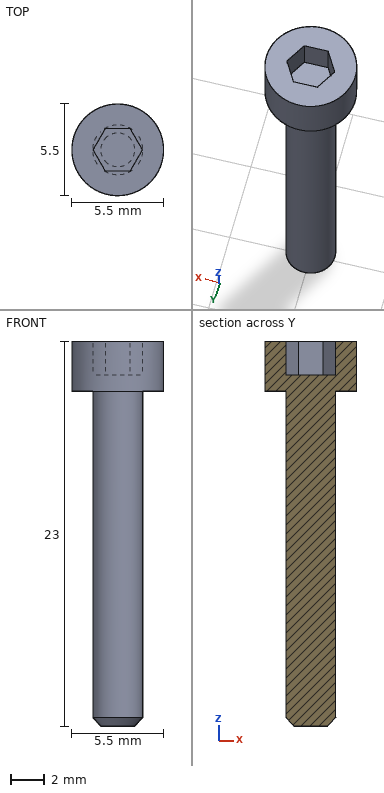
import cadquery as cq
import math

total_length = 23.0
head_diameter = 5.5
head_height = 3.0
shank_diameter = 3.0
tip_chamfer_height = 0.53
tip_chamfer_width = 0.48
socket_across_flats = 2.55
socket_depth = 2.0

shank_length = total_length - head_height
socket_across_corners = socket_across_flats / math.cos(math.pi / 6)


def make_shank():
    shank = cq.Workplane("XY").circle(shank_diameter / 2).extrude(shank_length)
    return shank.faces("<Z").chamfer(tip_chamfer_height, tip_chamfer_width)


def make_head():
    head = cq.Workplane("XY").workplane(offset=shank_length)
    return head.circle(head_diameter / 2).extrude(head_height)


def make_socket():
    socket = cq.Workplane("XY").workplane(offset=total_length)
    return socket.polygon(6, socket_across_corners).extrude(-socket_depth)


result = make_shank().union(make_head()).cut(make_socket())